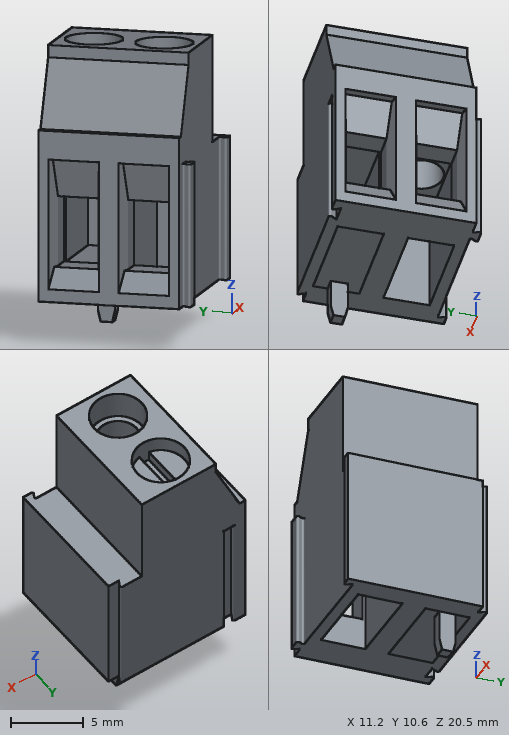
import cadquery as cq


pole_pitch = 5.0
pole_count = 2
pole_centers = [-pole_pitch * i for i in range(pole_count)]
housing_depth = 11.2
housing_width = pole_pitch * pole_count
y_plus = pole_pitch / 2
y_minus = y_plus - housing_width
overall_height = 20.5
pin_length = 3.0
housing_height = overall_height - pin_length
shelf_height = 10.0
tower_back = 8.8
tower_front = 2.5
lip_height = 0.86
slope_drop = 5.5
slope_foot = 0.5

dovetail_height = 0.6
dovetail_flare = 0.33
tip_round = 0.12
root_round = 0.1
front_dovetail_x = 1.4
front_root_half = 0.29
rear_dovetail_x = housing_depth
rear_root_half = 0.55
dovetails = [(front_dovetail_x, front_root_half), (rear_dovetail_x, rear_root_half)]

screw_x = 5.37
head_diameter = 4.0
well_depth = 2.34
shank_diameter = 3.1

entry_mouth_width = 3.6
entry_throat_width = 2.9
entry_mouth_bottom = 0.9
entry_mouth_top = shelf_height
entry_floor = 2.34
entry_ceiling = 7.22
floor_ramp_length = 0.75
ceiling_slope_start = 0.55
funnel_length = 1.23

clamp_front = 2.75
pin_front = 8.59
pin_thickness = 0.86
clamp_back = pin_front + pin_thickness
clamp_width = 3.28
clamp_top_plate = 0.82
clamp_height = entry_ceiling + clamp_top_plate
clamp_opening_width = 2.58

head_recess = 1.23
slot_width = 0.8
slot_depth = 0.82
pin_width = 1.2
pin_tip_width = 0.82
pin_tip_length = 0.8


def box(x_min, x_max, y_min, y_max, z_min, z_max):
    """Axis-aligned box between the given limits."""
    size = (x_max - x_min, y_max - y_min, z_max - z_min)
    return cq.Workplane("XY").box(*size, centered=False).translate((x_min, y_min, z_min))


def cylinder(y, diameter, z_min, z_max):
    """Upright cylinder on the screw axis of the pole at y."""
    disc = cq.Workplane("XY", origin=(screw_x, y, z_min)).circle(diameter / 2)
    return disc.extrude(z_max - z_min)


def dovetail(x, root_half, y_root):
    """Sharp-edged dovetail bar that widens toward -Y, centred at x with its root at y_root."""
    tip_half = root_half + dovetail_flare
    y_tip = y_root - dovetail_height
    outline = [
        (x - root_half, y_root),
        (x - tip_half, y_tip),
        (x + tip_half, y_tip),
        (x + root_half, y_root),
    ]
    return cq.Workplane("XY").polyline(outline).close().extrude(shelf_height)


def round_upright_edges(body, x_positions, y, radius):
    """Fillet the full-height vertical edges of the lower block at the given places."""
    for x in x_positions:
        nearest = cq.selectors.NearestToPointSelector((x, y, shelf_height / 2))
        body = body.edges("|Z").edges(nearest).fillet(radius)
    return body


def make_lower_block():
    """Lower half of the housing, with tongues on the -Y side and grooves on the +Y side."""
    block = box(0, housing_depth, y_minus, y_plus, 0, shelf_height)
    within_depth = box(0, housing_depth, y_minus - dovetail_height, y_plus, 0, shelf_height)
    for x, root_half in dovetails:
        tongue = dovetail(x, root_half, y_minus).edges("|Z and <Y").fillet(tip_round)
        block = block.union(tongue.intersect(within_depth))
        block = block.cut(dovetail(x, root_half, y_plus))
        flank_roots = [x - root_half]
        if x + root_half < housing_depth:
            flank_roots.append(x + root_half)
        block = round_upright_edges(block, flank_roots, y_minus, root_round)
        block = round_upright_edges(block, flank_roots, y_plus, tip_round)
    return block


def make_tower():
    """Upper half of the housing, with the sloping front."""
    slope_base = housing_height - slope_drop
    outline = [
        (0, shelf_height),
        (0, slope_base),
        (slope_foot, slope_base),
        (tower_front, housing_height - lip_height),
        (tower_front, housing_height),
        (tower_back, housing_height),
        (tower_back, shelf_height),
    ]
    side = cq.Workplane("XZ", origin=(0, y_plus, 0)).polyline(outline).close()
    return side.extrude(housing_width)


def make_wire_entry(y):
    """Funnel that narrows from the front face into the clamp chamber of the pole at y."""
    side_outline = [
        (0, entry_mouth_bottom),
        (floor_ramp_length, entry_floor),
        (clamp_front, entry_floor),
        (clamp_front, entry_ceiling),
        (funnel_length, entry_ceiling),
        (ceiling_slope_start, entry_mouth_top),
        (0, entry_mouth_top),
    ]
    side = cq.Workplane("XZ", origin=(0, y + entry_mouth_width / 2, 0)).polyline(side_outline).close()
    mouth_half = entry_mouth_width / 2
    throat_half = entry_throat_width / 2
    plan_outline = [
        (0, y - mouth_half),
        (funnel_length, y - throat_half),
        (clamp_front, y - throat_half),
        (clamp_front, y + throat_half),
        (funnel_length, y + throat_half),
        (0, y + mouth_half),
    ]
    plan = cq.Workplane("XY").polyline(plan_outline).close()
    return side.extrude(entry_mouth_width).intersect(plan.extrude(entry_mouth_top))


def make_clamp_block(y):
    """Solid envelope of a clamp, open to the underside of the housing."""
    return box(clamp_front, clamp_back, y - clamp_width / 2, y + clamp_width / 2, 0, clamp_height)


def make_housing():
    housing = make_lower_block().union(make_tower())
    well_floor = housing_height - well_depth
    for y in pole_centers:
        housing = housing.cut(make_wire_entry(y))
        housing = housing.cut(make_clamp_block(y))
        housing = housing.cut(cylinder(y, head_diameter, well_floor, housing_height))
        housing = housing.cut(cylinder(y, shank_diameter, clamp_height, well_floor))
    return housing


def make_clamp(y):
    """Clamp body with a blind opening facing the wire entry."""
    opening_half = clamp_opening_width / 2
    opening = box(clamp_front, pin_front, y - opening_half, y + opening_half, entry_floor, entry_ceiling)
    return make_clamp_block(y).cut(opening)


def make_screw(y):
    """Screw shank and slotted head that fill the well, the head sunk below the top face."""
    well_floor = housing_height - well_depth
    head_top = housing_height - head_recess
    shank = cylinder(y, shank_diameter, clamp_height, well_floor)
    head = cylinder(y, head_diameter, well_floor, head_top)
    slot = box(
        screw_x - slot_width / 2, screw_x + slot_width / 2,
        y - head_diameter / 2, y + head_diameter / 2,
        head_top - slot_depth, head_top,
    )
    return shank.union(head.cut(slot))


def make_pin(y):
    """Flat solder pin with a tapered tip."""
    half = pin_width / 2
    tip_half = pin_tip_width / 2
    shoulder_z = pin_tip_length - pin_length
    outline = [
        (y - half, 0),
        (y - half, shoulder_z),
        (y - tip_half, -pin_length),
        (y + tip_half, -pin_length),
        (y + half, shoulder_z),
        (y + half, 0),
    ]
    face = cq.Workplane("YZ", origin=(pin_front, 0, 0)).polyline(outline).close()
    return face.extrude(pin_thickness)


def make_terminal(y):
    """Clamp, screw and solder pin as one metal body."""
    return make_clamp(y).union(make_screw(y)).union(make_pin(y))


housing = make_housing()
terminal = make_terminal(pole_centers[0])

result = cq.Compound.makeCompound([housing.solids().val(), terminal.solids().val()])